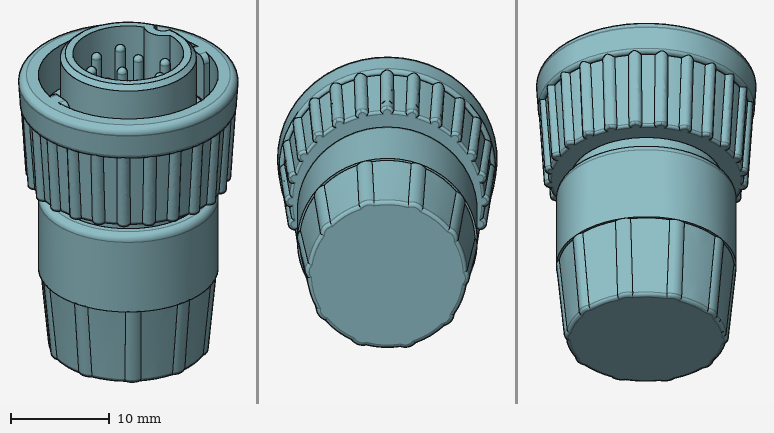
import cadquery as cq
import math

total_height = 33.73
nut_top = 31.25
nut_widest = 30.4
lip_bottom = 27.55
cavity_floor = 26.25
socket_floor = 27.3
nut_bottom = 19.3
sleeve_top = 17.7
sleeve_bottom = 8.8

sleeve_radius = 9.1
sleeve_fillet = 0.8
neck_radius = 7.7
tail_top_radius = 8.88
tail_bottom_radius = 8.05
tail_rib_count = 10
tail_rib_radius = 1.36
tail_rib_height = 0.22
tail_fillet = 0.4

nut_radius = 22.22 / 2
nut_bottom_radius = 10.35
nut_top_round = 0.8
lip_fillet = 0.45
grip_rib_count = 24
grip_rib_radius = 0.7
grip_rib_height = 0.5
grip_rib_inset = 0.05
grip_fillet = 0.3
cavity_radius = 9.1

lug_width = 3.0
lug_inner_distance = 8.25
lug_embed = 0.4
lug_fillet = 0.8
lug_angle = 67.5
lug_count = 2

insert_radius = 6.88
insert_chamfer = 0.5
socket_radius = 5.6
seal_tube_radius = 0.57
keyway_center_y = 6.55
keyway_radius = 0.95
key_wall_center_y = 6.7
key_wall_radius = 2.05
pin_radius = 0.52
pin_top = total_height - 1.15
pin_circle_radius = 3.81
pin_circle_positions = 8
key_position = 2
center_pin_offsets_y = (1.9, -1.13)


def disk(radius, bottom, top):
    return cq.Workplane("XY").workplane(offset=bottom).circle(radius).extrude(top - bottom)


def cone(bottom_radius, top_radius, bottom, top):
    outline = [(0, bottom), (bottom_radius, bottom), (top_radius, top), (0, top)]
    return cq.Workplane("XZ").polyline(outline).close().revolve(360, (0, 0), (0, 1))


def sloped_rib(rib_radius, bottom_tip, top_tip, bottom, top):
    """Round rib whose outermost line rises from radius bottom_tip to radius top_tip."""
    section = cq.Wire.makeCircle(
        rib_radius, cq.Vector(bottom_tip - rib_radius, 0, bottom), cq.Vector(0, 0, 1)
    )
    rise = cq.Vector(top_tip - bottom_tip, 0, top - bottom)
    return cq.Workplane(cq.Solid.extrudeLinear(section, [], rise))


def ribbed_cone(core, rib, count, first_angle):
    for index in range(count):
        angle = first_angle + index * 360 / count
        core = core.union(rib.rotate((0, 0, 0), (0, 0, 1), angle))
    return core


def make_tail():
    core = cone(tail_bottom_radius, tail_top_radius, 0, sleeve_bottom)
    rib = sloped_rib(
        tail_rib_radius,
        tail_bottom_radius + tail_rib_height,
        tail_top_radius + tail_rib_height,
        0,
        sleeve_bottom,
    )
    tail = ribbed_cone(core, rib, tail_rib_count, -90)
    return tail.faces("<Z").edges().fillet(tail_fillet)


def make_sleeve():
    sleeve = disk(sleeve_radius, sleeve_bottom, sleeve_top)
    sleeve = sleeve.faces(">Z").edges().fillet(sleeve_fillet)
    return sleeve.union(disk(neck_radius, sleeve_top, nut_bottom))


def nut_radius_at(height):
    fraction = (height - nut_bottom) / (nut_widest - nut_bottom)
    return nut_bottom_radius + fraction * (nut_radius - nut_bottom_radius)


def make_grip():
    lip_radius = nut_radius_at(lip_bottom)
    core = cone(
        nut_bottom_radius - grip_rib_height, lip_radius - grip_rib_height, nut_bottom, lip_bottom
    )
    rib_top = lip_bottom + 2 * lip_fillet
    rib = sloped_rib(
        grip_rib_radius,
        nut_bottom_radius,
        nut_radius_at(rib_top) - grip_rib_inset,
        nut_bottom,
        rib_top,
    )
    grip = ribbed_cone(core, rib, grip_rib_count, 0)
    return grip.faces("<Z").edges().fillet(grip_fillet)


def make_lip():
    lip = cone(nut_radius_at(lip_bottom), nut_radius, lip_bottom, nut_widest)
    lip = lip.faces("<Z").edges().fillet(lip_fillet)
    crown = disk(nut_radius, nut_widest, nut_top)
    return lip.union(crown.faces(">Z").edges().fillet(nut_top_round))


def make_lug():
    lug_length = cavity_radius + lug_embed - lug_inner_distance
    lug = cq.Workplane("XY").box(
        lug_length, lug_width, nut_top - cavity_floor, centered=(False, True, False)
    )
    lug = lug.edges(">Z and |X").fillet(lug_fillet)
    return lug.translate((lug_inner_distance, 0, cavity_floor))


def make_nut():
    nut = make_grip().union(make_lip()).cut(disk(cavity_radius, cavity_floor, nut_top))
    lug = make_lug()
    for index in range(lug_count):
        angle = lug_angle + index * 360 / lug_count
        nut = nut.union(lug.rotate((0, 0, 0), (0, 0, 1), angle))
    return nut


def make_pin(x, y):
    shaft_top = pin_top - pin_radius
    shaft = disk(pin_radius, socket_floor, shaft_top)
    tip = cq.Workplane("XY").sphere(pin_radius).translate((0, 0, shaft_top))
    return shaft.union(tip).translate((x, y, 0))


def make_keyway():
    """Round-bottomed slot with parallel sides that opens through the insert's outer wall."""
    depth = total_height - socket_floor
    bottom = disk(keyway_radius, socket_floor, total_height)
    sides = cq.Workplane("XY").box(
        2 * keyway_radius, 2 * keyway_radius, depth, centered=(True, False, False)
    )
    return bottom.union(sides.translate((0, 0, socket_floor))).translate((0, keyway_center_y, 0))


def make_pins():
    places = [(0, y) for y in center_pin_offsets_y]
    for position in range(pin_circle_positions):
        if position != key_position:
            angle = math.radians(position * 360 / pin_circle_positions)
            x = pin_circle_radius * math.cos(angle)
            y = pin_circle_radius * math.sin(angle)
            places.append((x, y))
    return [make_pin(x, y) for x, y in places]


def make_insert():
    insert = disk(insert_radius, cavity_floor, total_height)
    insert = insert.faces(">Z").edges().chamfer(insert_chamfer)
    key_wall = disk(key_wall_radius, socket_floor, total_height)
    key_wall = key_wall.translate((0, key_wall_center_y, 0))
    socket = disk(socket_radius, socket_floor, total_height).cut(key_wall)
    insert = insert.cut(socket).cut(make_keyway())
    for pin in make_pins():
        insert = insert.union(pin)
    return insert


def make_seal():
    ring_radius = insert_radius + seal_tube_radius
    return cq.Workplane(
        cq.Solid.makeTorus(ring_radius, seal_tube_radius, cq.Vector(0, 0, cavity_floor))
    )


result = make_tail().union(make_sleeve()).union(make_nut())
result = result.union(make_seal()).union(make_insert())